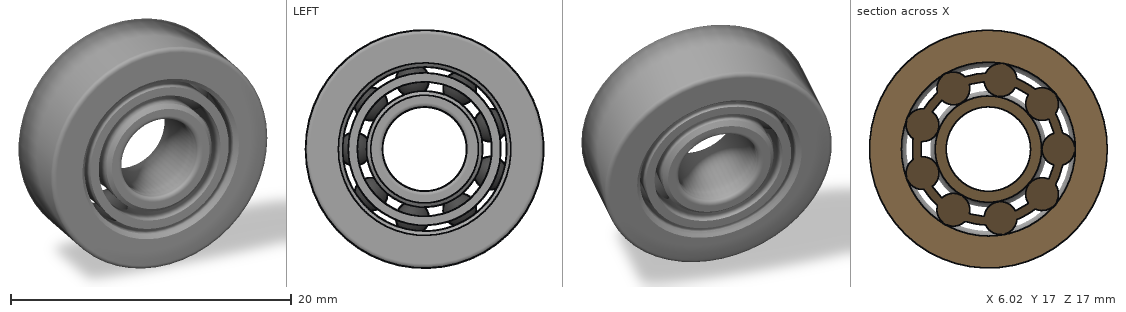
import cadquery as cq


outer_radius = 8.5
bore_radius = 3.0
width = 6.02
edge_size = 0.3

ball_count = 9
ball_radius = 1.19
ball_step = 360.0 / ball_count

inner_shoulder_radius = 4.15
outer_shoulder_radius = 5.85
pitch_radius = (inner_shoulder_radius + outer_shoulder_radius) / 2

cage_inner_radius = 4.8
cage_outer_radius = 5.44
cage_width = 5.65

inside_rims = cq.selectors.RadiusNthSelector(0)
outside_rims = cq.selectors.RadiusNthSelector(-1)


def make_tube(large_radius, small_radius, length):
    """Tube along X, centred on the origin."""
    return (
        cq.Workplane("YZ", origin=(-length / 2, 0, 0))
        .circle(large_radius)
        .circle(small_radius)
        .extrude(length)
    )


def make_ball_track():
    """Torus swept by the balls, which cuts a matching groove into each ring."""
    return (
        cq.Workplane("XY")
        .center(0, pitch_radius)
        .circle(ball_radius)
        .revolve(360, (0, -pitch_radius), (1, -pitch_radius))
    )


def make_outer_ring():
    ring = make_tube(outer_radius, outer_shoulder_radius, width)
    ring = ring.edges(outside_rims).fillet(edge_size)
    ring = ring.faces("<X or >X").edges(inside_rims).chamfer(edge_size)
    return ring.cut(make_ball_track())


def make_inner_ring():
    ring = make_tube(inner_shoulder_radius, bore_radius, width)
    ring = ring.edges(inside_rims).fillet(edge_size)
    ring = ring.faces("<X or >X").edges(outside_rims).chamfer(edge_size)
    return ring.cut(make_ball_track())


def make_ball(index):
    """Ball on the pitch circle, counted from the +Y side."""
    ball = cq.Workplane("XY").sphere(ball_radius).translate((0, pitch_radius, 0))
    return ball.rotate((0, 0, 0), (1, 0, 0), index * ball_step)


def make_ball_cage():
    """Cage and the balls it carries, as one solid."""
    cage = make_tube(cage_outer_radius, cage_inner_radius, cage_width)
    for index in range(ball_count):
        cage = cage.union(make_ball(index))
    return cage


outer_ring = make_outer_ring()
inner_ring = make_inner_ring()
ball_cage = make_ball_cage()

result = cq.Compound.makeCompound([outer_ring.val(), inner_ring.val(), ball_cage.val()])